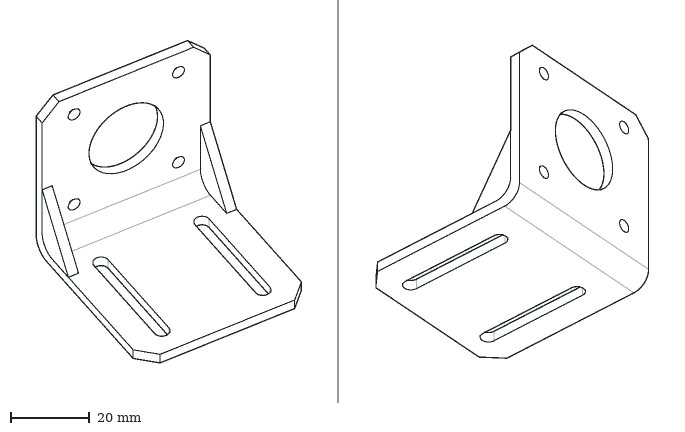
import cadquery as cq

length = 53.0
width = 50.0
height = 51.0
thickness = 3.0
bend_radius = 5.0
corner_chamfer = 5.0

motor_axis_z = 29.0
pilot_diameter = 22.1
screw_diameter = 3.5
screw_spacing = 31.0

slot_width = 4.2
slot_travel = 30.0
slot_center_x = 30.5
slot_spacing = 30.0

gusset_thickness = 3.0
gusset_run = 13.0
gusset_rise = 20.0


def make_bent_plate():
    """L-shaped plate with a rounded bend and chamfered free corners."""
    half_width = width / 2
    plate = (
        cq.Workplane("XZ", origin=(0, half_width, 0))
        .moveTo(bend_radius, 0)
        .lineTo(length, 0)
        .lineTo(length, thickness)
        .lineTo(thickness + bend_radius, thickness)
        .radiusArc((thickness, thickness + bend_radius), bend_radius)
        .lineTo(thickness, height)
        .lineTo(0, height)
        .lineTo(0, bend_radius)
        .radiusArc((bend_radius, 0), -bend_radius)
        .close()
        .extrude(width)
    )
    plate = plate.faces(">X").edges("|Z").chamfer(corner_chamfer)
    return plate.faces(">Z").edges("|X").chamfer(corner_chamfer)


def make_motor_holes():
    """Cutters for the pilot bore and the four motor screws."""
    upright = cq.Workplane("YZ", origin=(0, 0, motor_axis_z))
    pilot = upright.circle(pilot_diameter / 2).extrude(thickness)
    screws = (
        upright.rect(screw_spacing, screw_spacing, forConstruction=True)
        .vertices()
        .circle(screw_diameter / 2)
        .extrude(thickness)
    )
    return pilot.add(screws).combine()


def make_foot_slots():
    """Cutters for the two adjustment slots, running along X."""
    return (
        cq.Workplane("XY", origin=(slot_center_x, 0, 0))
        .rarray(1, slot_spacing, 1, 2)
        .slot2D(slot_travel + slot_width, slot_width)
        .extrude(thickness)
    )


def make_gusset(start_y):
    """Triangular web from start_y towards +Y, with its corner rounded to sit on the bend."""
    return (
        cq.Workplane("XZ", origin=(0, start_y, 0))
        .moveTo(thickness + bend_radius, thickness)
        .lineTo(thickness + gusset_run, thickness)
        .lineTo(thickness, thickness + gusset_rise)
        .lineTo(thickness, thickness + bend_radius)
        .radiusArc((thickness + bend_radius, thickness), -bend_radius)
        .close()
        .extrude(-gusset_thickness)
    )


bracket = make_bent_plate().cut(make_motor_holes()).cut(make_foot_slots())

gusset_starts = (-width / 2, width / 2 - gusset_thickness)
gussets = [make_gusset(start_y) for start_y in gusset_starts]

result = cq.Compound.makeCompound([bracket.val(), *[gusset.val() for gusset in gussets]])